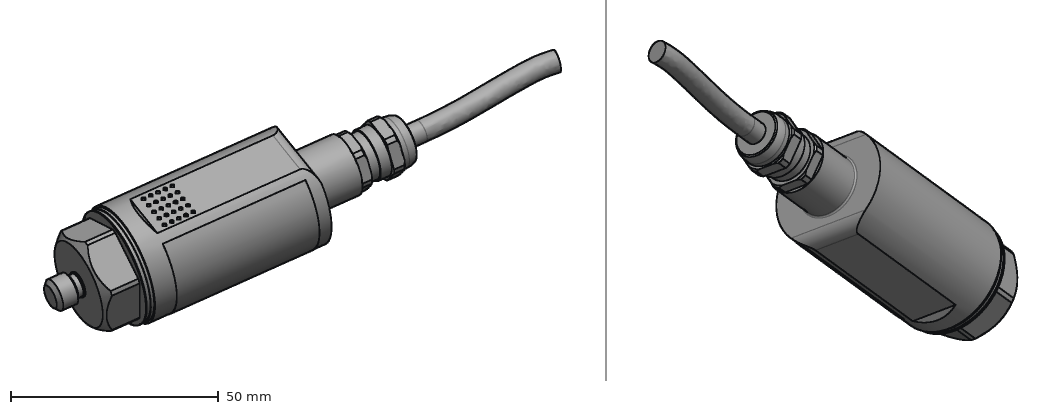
import cadquery as cq
import math

TOTAL_LENGTH = 144.0

STUD_HEAD_RADIUS = 4.2
STUD_HEAD_LENGTH = 5.3
STUD_CHAMFER = 1.2
STUD_NECK_RADIUS = 3.0
STUD_NECK_LENGTH = 2.6
STUD_RING_RADIUS = 3.3
STUD_FRONT_RING_LENGTH = 0.6
STUD_REAR_RING_LENGTH = 0.5

HEX_ACROSS_FLATS = 24.0
HEX_CORNER_RADIUS = 13.5
HEX_LENGTH = 10.0
HEX_CHAMFER = 2.2

FLANGE_RADIUS = 15.0
FLANGE_GROOVE_RADIUS = 14.7
FLANGE_LENGTH = 2.3
FLANGE_GROOVE_OFFSET = 0.3
FLANGE_GROOVE_WIDTH = 1.2

HOUSING_DIAMETER = 31.0
HOUSING_RADIUS = HOUSING_DIAMETER / 2
HOUSING_LENGTH = 49.5
FLAT_HEIGHT = 14.1
FLAT_FRONT_OFFSET = 6.0
FLAT_REAR_ROUNDING = 3.5

LABEL_HALF_ANGLE = 55.0
LABEL_THICKNESS = 0.1

GRID_COUNT = 5
GRID_PITCH_X = 2.5
GRID_PITCH_Y = 2.0
GRID_CENTRE_OFFSET = 13.0
GRID_HOLE_DIAMETER = 1.0
GRID_HOLE_DEPTH = 0.5

COLLAR_RADIUS = 8.0
COLLAR_LENGTH = 13.1
COLLAR_FOOT_FILLET = 0.5
GLAND_ACROSS_FLATS = 14.4
GLAND_CORNER_RADIUS = 7.9
GLAND_HEX_CHAMFER = 0.5
GLAND_HEX_LENGTH = 3.0
GLAND_NECK_RADIUS = 6.3
GLAND_NECK_LENGTH = 2.9
GLAND_RING_RADIUS = 6.8
GLAND_RING_LENGTH = 3.0
NUT_LENGTH = 3.3
DOME_STRAIGHT_LENGTH = 1.6
DOME_LENGTH = 4.3
DOME_TIP_RADIUS = 6.0
DOME_TIP_CHAMFER = 0.3

CABLE_RADIUS = 2.9
CABLE_STRAIGHT_LENGTH = 4.6
CABLE_END_SLOPE = 0.15

hex_start = STUD_HEAD_LENGTH + STUD_NECK_LENGTH
flange_start = hex_start + HEX_LENGTH
housing_start = flange_start + FLANGE_LENGTH
housing_end = housing_start + HOUSING_LENGTH
flat_front = housing_start + FLAT_FRONT_OFFSET
flat_rear = housing_end - FLAT_REAR_ROUNDING
gland_start = housing_end + COLLAR_LENGTH
gland_neck_start = gland_start + GLAND_HEX_LENGTH
gland_ring_start = gland_neck_start + GLAND_NECK_LENGTH
nut_start = gland_ring_start + GLAND_RING_LENGTH
dome_start = nut_start + NUT_LENGTH
gland_end = dome_start + DOME_LENGTH


def plane_at(y):
    """Plane across the axis at station y, with its normal along +Y and its local x along +Z."""
    return cq.Plane(origin=(0, y, 0), xDir=(0, 0, 1), normal=(0, 1, 0))


def cylinder(start, length, radius):
    return cq.Workplane(plane_at(start)).circle(radius).extrude(length)


def hexagon(start, length, across_flats, corner_direction):
    """Sharp hexagonal prism with one corner pointing along corner_direction."""
    plane = cq.Plane(origin=(0, start, 0), xDir=corner_direction, normal=(0, 1, 0))
    corner_diameter = across_flats / math.cos(math.radians(30))
    return cq.Workplane(plane).polygon(6, corner_diameter).extrude(length)


def make_stud():
    """Chamfered head on a neck with a narrow ring at each end."""
    head = cylinder(0, STUD_HEAD_LENGTH, STUD_HEAD_RADIUS).faces("<Y").chamfer(STUD_CHAMFER)
    neck = cylinder(STUD_HEAD_LENGTH, STUD_NECK_LENGTH, STUD_NECK_RADIUS)
    front_ring = cylinder(STUD_HEAD_LENGTH, STUD_FRONT_RING_LENGTH, STUD_RING_RADIUS)
    rear_ring = cylinder(hex_start - STUD_REAR_RING_LENGTH, STUD_REAR_RING_LENGTH, STUD_RING_RADIUS)
    return head.union(neck).union(front_ring).union(rear_ring)


def make_wrench_hexagon():
    """Hexagon with rounded corners and a turned chamfer at its front face."""
    envelope = cylinder(hex_start, HEX_LENGTH, HEX_CORNER_RADIUS).faces("<Y").chamfer(HEX_CHAMFER)
    return hexagon(hex_start, HEX_LENGTH, HEX_ACROSS_FLATS, (0, 0, 1)).intersect(envelope)


def make_flange():
    flange = cylinder(flange_start, FLANGE_LENGTH, FLANGE_RADIUS)
    groove_start = flange_start + FLANGE_GROOVE_OFFSET
    groove = cylinder(groove_start, FLANGE_GROOVE_WIDTH, FLANGE_RADIUS).cut(
        cylinder(groove_start, FLANGE_GROOVE_WIDTH, FLANGE_GROOVE_RADIUS)
    )
    return flange.cut(groove)


def make_flat_cutter():
    """Material above the top flat: 45 degree ramp in front, level floor, rounded rear edge."""
    margin = 1.5
    cutter_top = HOUSING_RADIUS + margin
    ramp_height = cutter_top - FLAT_HEIGHT
    arc_reach = FLAT_REAR_ROUNDING * math.sin(math.radians(45))
    arc_centre_height = FLAT_HEIGHT - FLAT_REAR_ROUNDING
    return (
        cq.Workplane("YZ")
        .moveTo(flat_front - ramp_height, cutter_top)
        .lineTo(flat_front, FLAT_HEIGHT)
        .lineTo(flat_rear, FLAT_HEIGHT)
        .threePointArc(
            (flat_rear + arc_reach, arc_centre_height + arc_reach),
            (housing_end, arc_centre_height),
        )
        .lineTo(housing_end + margin, arc_centre_height)
        .lineTo(housing_end + margin, cutter_top)
        .close()
        .extrude(HOUSING_RADIUS, both=True)
    )


def make_label():
    """Thin curved panel that wraps around the +X side of the housing."""
    outer_radius = HOUSING_RADIUS + LABEL_THICKNESS
    cos_edge = math.cos(math.radians(LABEL_HALF_ANGLE))
    sin_edge = math.sin(math.radians(LABEL_HALF_ANGLE))
    return (
        cq.Workplane(cq.Plane(origin=(0, flat_front, 0), xDir=(1, 0, 0), normal=(0, 1, 0)))
        .moveTo(HOUSING_RADIUS * cos_edge, HOUSING_RADIUS * sin_edge)
        .lineTo(outer_radius * cos_edge, outer_radius * sin_edge)
        .threePointArc((outer_radius, 0), (outer_radius * cos_edge, -outer_radius * sin_edge))
        .lineTo(HOUSING_RADIUS * cos_edge, -HOUSING_RADIUS * sin_edge)
        .threePointArc((HOUSING_RADIUS, 0), (HOUSING_RADIUS * cos_edge, HOUSING_RADIUS * sin_edge))
        .close()
        .extrude(flat_rear - flat_front)
    )


def make_grid_holes():
    grid_centre = (0, housing_start + GRID_CENTRE_OFFSET, FLAT_HEIGHT)
    return (
        cq.Workplane("XY", origin=grid_centre)
        .rarray(GRID_PITCH_X, GRID_PITCH_Y, GRID_COUNT, GRID_COUNT)
        .circle(GRID_HOLE_DIAMETER / 2)
        .extrude(-GRID_HOLE_DEPTH)
    )


def make_housing():
    housing = cylinder(housing_start, HOUSING_LENGTH, HOUSING_RADIUS)
    flat_cutter = make_flat_cutter()
    housing = housing.cut(flat_cutter).cut(flat_cutter.mirror("XY"))
    return housing.cut(make_grid_holes()).union(make_label())


def make_gland_hexagon(start, length):
    """Small hexagon with flats above and below and rounded corners."""
    envelope = cylinder(start, length, GLAND_CORNER_RADIUS).faces(">Y").chamfer(GLAND_HEX_CHAMFER)
    return hexagon(start, length, GLAND_ACROSS_FLATS, (1, 0, 0)).intersect(envelope)


def make_dome():
    """Rounded cap of the gland, with its side bending tangentially towards the tip."""
    curve_start = dome_start + DOME_STRAIGHT_LENGTH
    return (
        cq.Workplane("XY")
        .moveTo(0, dome_start)
        .lineTo(GLAND_RING_RADIUS, dome_start)
        .lineTo(GLAND_RING_RADIUS, curve_start)
        .tangentArcPoint((DOME_TIP_RADIUS, gland_end), relative=False)
        .lineTo(0, gland_end)
        .close()
        .revolve(360, (0, 0, 0), (0, 1, 0))
        .faces(">Y")
        .chamfer(DOME_TIP_CHAMFER)
    )


def make_collar():
    """Plain round collar that runs into the end of the housing with a small concave fillet."""
    fillet_inset = COLLAR_FOOT_FILLET * (1 - math.sin(math.radians(45)))
    return (
        cq.Workplane("XY")
        .moveTo(0, housing_end)
        .lineTo(COLLAR_RADIUS + COLLAR_FOOT_FILLET, housing_end)
        .threePointArc(
            (COLLAR_RADIUS + fillet_inset, housing_end + fillet_inset),
            (COLLAR_RADIUS, housing_end + COLLAR_FOOT_FILLET),
        )
        .lineTo(COLLAR_RADIUS, gland_start)
        .lineTo(0, gland_start)
        .close()
        .revolve(360, (0, 0, 0), (0, 1, 0))
    )


def make_gland():
    collar = make_collar()
    base_hexagon = make_gland_hexagon(gland_start, GLAND_HEX_LENGTH)
    neck = cylinder(gland_neck_start, GLAND_NECK_LENGTH, GLAND_NECK_RADIUS)
    ring = cylinder(gland_ring_start, GLAND_RING_LENGTH, GLAND_RING_RADIUS)
    nut = make_gland_hexagon(nut_start, NUT_LENGTH)
    return collar.union(base_hexagon).union(neck).union(ring).union(nut).union(make_dome())


def make_sensor():
    sensor = make_stud().union(make_wrench_hexagon()).union(make_flange())
    return sensor.union(make_housing()).union(make_gland())


def make_cable():
    """Cable that butts on the gland, runs straight and then bends gently to -X and back."""
    bend_start = gland_end + CABLE_STRAIGHT_LENGTH
    end_tilt_rise = CABLE_RADIUS * math.sin(math.atan(CABLE_END_SLOPE))
    centre_line = [
        (0, bend_start),
        (-0.5, 114.0),
        (-1.7, 125.2),
        (-2.7, 133.9),
        (-3.0, 138.6),
        (-2.6, TOTAL_LENGTH - end_tilt_rise),
    ]
    path = cq.Workplane("XY").spline(centre_line, tangents=[(0, 1), (CABLE_END_SLOPE, 1)])
    bend = cq.Workplane(plane_at(bend_start)).circle(CABLE_RADIUS).sweep(path)
    return cylinder(gland_end, CABLE_STRAIGHT_LENGTH, CABLE_RADIUS).union(bend)


sensor = make_sensor()
cable = make_cable()
result = cq.Compound.makeCompound([sensor.val(), cable.val()])